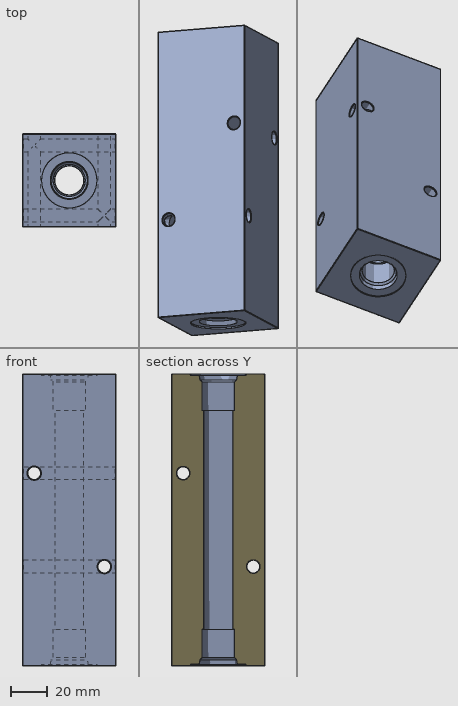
import cadquery as cq

length = 158.8
width = 50.8
edge_chamfer = 0.3

bore_diameter = 15.7
spotface_diameter = 30.0
spotface_depth = 0.8
seat_mouth_diameter = 20.6
seat_floor_diameter = 19.7
seat_depth = 2.5
thread_diameter = 17.5
thread_chamfer_depth = 1.1
thread_depth = 19.0

hole_diameter = 7.0
hole_chamfer = 0.4
hole_side_offset = 19.0
hole_height = 25.4


def make_block():
    """Square bar centred on the origin, with all edges lightly broken."""
    return cq.Workplane("XY").box(width, width, length).edges().chamfer(edge_chamfer)


def make_bore():
    """Main bore with a stepped port at both ends, revolved about Z."""
    top = length / 2
    seat_top = top - spotface_depth
    seat_floor = seat_top - seat_depth
    thread_top = seat_floor - thread_chamfer_depth
    thread_floor = seat_top - thread_depth
    upper_profile = [
        (bore_diameter / 2, thread_floor),
        (thread_diameter / 2, thread_floor),
        (thread_diameter / 2, thread_top),
        (seat_floor_diameter / 2, seat_floor),
        (seat_mouth_diameter / 2, seat_top),
        (spotface_diameter / 2, seat_top),
        (spotface_diameter / 2, top),
        (0, top),
    ]
    lower_profile = [(radius, -z) for radius, z in reversed(upper_profile)]
    profile = cq.Workplane("XZ").polyline(lower_profile + upper_profile).close()
    return profile.revolve(360, (0, 0, 0), (0, 1, 0))


def make_cross_hole():
    """Through hole along Z, centred on the origin, flared at both mouths."""
    half = width / 2
    radius = hole_diameter / 2
    mouth_radius = radius + hole_chamfer
    profile = [
        (0, -half),
        (mouth_radius, -half),
        (radius, -half + hole_chamfer),
        (radius, half - hole_chamfer),
        (mouth_radius, half),
        (0, half),
    ]
    return cq.Workplane("XZ").polyline(profile).close().revolve(360, (0, 0, 0), (0, 1, 0))


result = make_block().cut(make_bore())

hole_along_x = make_cross_hole().rotate((0, 0, 0), (0, 1, 0), 90)
hole_along_y = make_cross_hole().rotate((0, 0, 0), (1, 0, 0), 90)
for side in (1, -1):
    offset = side * hole_side_offset
    height = side * hole_height
    result = result.cut(hole_along_x.translate((0, offset, height)))
    result = result.cut(hole_along_y.translate((-offset, 0, height)))